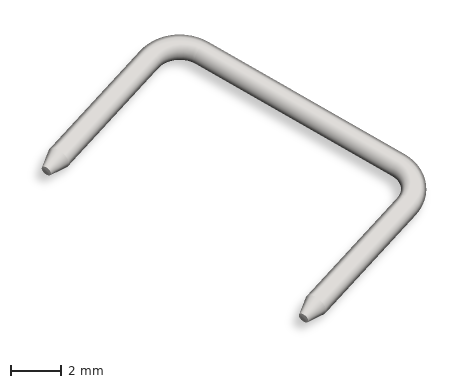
import cadquery as cq

wire_diameter = 1.01
leg_pitch = 12.7
overall_depth = 9.01
inner_bend_radius = 1.0
tip_length = 0.83
tip_diameter = 0.46

wire_radius = wire_diameter / 2
bend_radius = inner_bend_radius + wire_radius
half_pitch = leg_pitch / 2
crossbar_y = overall_depth / 2 - wire_radius
tip_y = -overall_depth / 2
shoulder_y = tip_y + tip_length
bend_start_y = crossbar_y - bend_radius
bend_end_x = half_pitch - bend_radius


def bent_wire():
    """Round wire swept along both legs, both bends and the crossbar."""
    path = (
        cq.Workplane("XY")
        .moveTo(-half_pitch, shoulder_y)
        .lineTo(-half_pitch, bend_start_y)
        .radiusArc((-bend_end_x, crossbar_y), bend_radius)
        .lineTo(bend_end_x, crossbar_y)
        .radiusArc((half_pitch, bend_start_y), bend_radius)
        .lineTo(half_pitch, shoulder_y)
    )
    section = cq.Workplane("XZ", origin=(-half_pitch, shoulder_y, 0)).circle(wire_radius)
    return section.sweep(path)


def tapered_tip(axis_x):
    """Truncated cone that ends one leg, pointing toward -Y."""
    cone = cq.Solid.makeCone(
        wire_radius,
        tip_diameter / 2,
        tip_length,
        pnt=cq.Vector(axis_x, shoulder_y, 0),
        dir=cq.Vector(0, -1, 0),
    )
    return cq.Workplane(obj=cone)


result = bent_wire()
for leg_x in (-half_pitch, half_pitch):
    result = result.union(tapered_tip(leg_x))